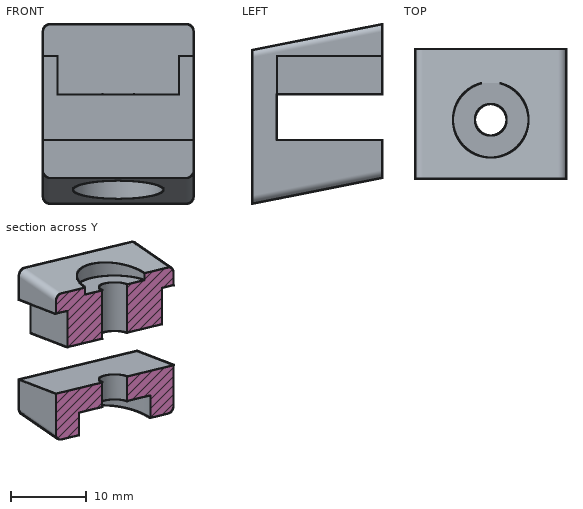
import cadquery as cq

width = 20.0
depth = 17.22
height = 23.82
face_rise = 3.43
edge_radius = 1.0

wall_thickness = 3.26
lower_jaw_top = 8.48
upper_jaw_bottom = 14.5
tongue_width = 16.03
tongue_top = 19.55

axis_from_front = 7.84
bore_diameter = 4.15
top_recess_diameter = 10.0
top_recess_floor = 21.3
bottom_recess_diameter = 12.0
bottom_recess_ceiling = 5.0

front_y = -depth / 2
back_y = depth / 2
wall_front_y = back_y - wall_thickness
axis_y = front_y + axis_from_front


def make_body():
    """Parallelogram side profile with its four sloped edges rounded."""
    profile = [
        (front_y, face_rise),
        (back_y, 0),
        (back_y, height - face_rise),
        (front_y, height),
    ]
    body = cq.Workplane("YZ").polyline(profile).close().extrude(width / 2, both=True)
    sloped_edges = body.faces("<X or >X").edges("not(|Z)")
    return sloped_edges.fillet(edge_radius)


def make_opening():
    """Space in front of the wall, less the tongue hanging from the upper jaw."""
    opening_depth = wall_front_y - front_y
    middle_y = (front_y + wall_front_y) / 2
    opening = (
        cq.Workplane("XY", origin=(0, middle_y, lower_jaw_top))
        .rect(width, opening_depth)
        .extrude(tongue_top - lower_jaw_top)
    )
    tongue = (
        cq.Workplane("XY", origin=(0, middle_y, upper_jaw_bottom))
        .rect(tongue_width, opening_depth)
        .extrude(tongue_top - upper_jaw_bottom)
    )
    return opening.cut(tongue)


def vertical_bore(diameter, bottom, top):
    """Cylinder on the screw axis between two heights."""
    return cq.Workplane("XY", origin=(0, axis_y, bottom)).circle(diameter / 2).extrude(top - bottom)


result = (
    make_body()
    .cut(make_opening())
    .cut(vertical_bore(bore_diameter, 0, height))
    .cut(vertical_bore(top_recess_diameter, top_recess_floor, height))
    .cut(vertical_bore(bottom_recess_diameter, 0, bottom_recess_ceiling))
)